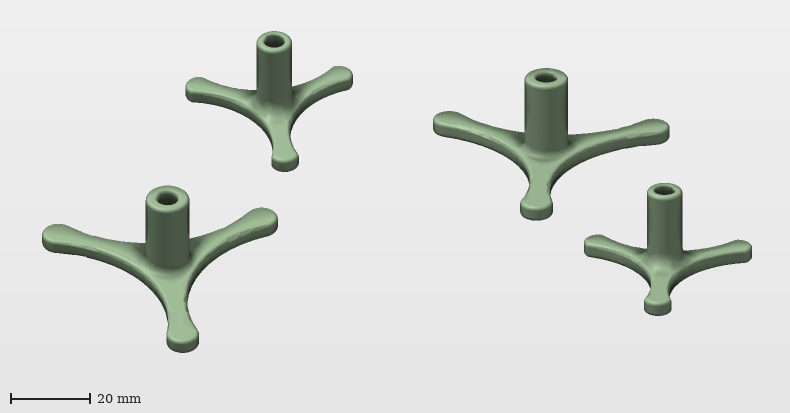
import cadquery as cq
import math

total_height = 24.0
plate_thickness = 4.0
plate_edge_radius = 1.0
hub_rim_radius = 1.0
bore_diameter = 5.1
bore_flat_offset = 2.3
arm_count = 3
arm_step = 360 / arm_count
first_arm_angle = 180 / arm_count
overall_length = 121.3
tolerance = 0.01


def polar(distance, degrees):
    """Point at a distance and angle from the knob axis."""
    angle = math.radians(degrees)
    return distance * math.cos(angle), distance * math.sin(angle)


def arm_plate(tip_distance, tip_radius, waist, scallop_radius, corner_radius):
    """Three-armed plate: round arm tips joined by concave scallops."""
    scallop_distance = waist + scallop_radius
    gap_x, gap_y = polar(tip_distance, first_arm_angle)
    gap_x -= scallop_distance
    gap = math.hypot(gap_x, gap_y)
    along = (gap**2 + scallop_radius**2 - tip_radius**2) / (2 * gap)
    across = math.sqrt(max(scallop_radius**2 - along**2, 0))
    corner_x = scallop_distance + (along * gap_x + across * gap_y) / gap
    corner_y = (along * gap_y - across * gap_x) / gap
    corner_distance = math.hypot(corner_x, corner_y)
    corner_angle = math.degrees(math.atan2(corner_y, corner_x))

    outline = cq.Workplane("XY").moveTo(*polar(corner_distance, -corner_angle))
    for arm in range(arm_count):
        scallop_angle = arm * arm_step
        outline = outline.threePointArc(
            polar(waist, scallop_angle),
            polar(corner_distance, scallop_angle + corner_angle),
        ).threePointArc(
            polar(tip_distance + tip_radius, scallop_angle + first_arm_angle),
            polar(corner_distance, scallop_angle + arm_step - corner_angle),
        )
    plate = outline.close().extrude(plate_thickness)
    if corner_radius:
        plate = plate.edges("|Z").fillet(corner_radius)
    return plate.faces("<Z or >Z").edges().fillet(plate_edge_radius)


def hub_post(hub_diameter):
    """Round post with a rounded rim, standing on the base plane."""
    post = cq.Workplane("XY").circle(hub_diameter / 2).extrude(total_height)
    return post.faces(">Z").edges().fillet(hub_rim_radius)


def blend_hub_root(body, hub_diameter, root_radius):
    """Round the inside corner where the hub meets the top of the plate."""
    hub_radius = hub_diameter / 2
    root_edges = [
        edge
        for edge in body.edges("%CIRCLE").vals()
        if abs(edge.radius() - hub_radius) < tolerance
        and abs(edge.Center().z - plate_thickness) < tolerance
    ]
    return body.newObject(root_edges).fillet(root_radius)


def bore_profile(inner_x, wall_x, mouth_radius):
    """Section through one bore wall, flaring outward along a quarter round at the mouth."""
    half_way = math.sqrt(0.5) * mouth_radius
    straight_end = total_height - mouth_radius
    return (
        cq.Workplane("XZ")
        .moveTo(inner_x, plate_thickness)
        .lineTo(wall_x, plate_thickness)
        .lineTo(wall_x, straight_end)
        .threePointArc(
            (wall_x + mouth_radius - half_way, straight_end + half_way),
            (wall_x + mouth_radius, total_height),
        )
        .lineTo(inner_x, total_height)
        .close()
    )


def cut_bore(body, hub_diameter, mouth_radius):
    """Cut a blind D-shaped bore with a rounded mouth down to the plate's top level."""
    round_bore = bore_profile(0, bore_diameter / 2, mouth_radius).revolve(360, (0, 0), (0, 1))
    flat_side = (
        bore_profile(-hub_diameter, bore_flat_offset, mouth_radius)
        .extrude(hub_diameter, both=True)
        .rotate((0, 0, 0), (0, 0, 1), 180)
    )
    return body.cut(round_bore.intersect(flat_side))


def arm_reach_y(tip_distance, tip_radius):
    """Half of the knob's extent along Y."""
    return tip_distance * math.sin(math.radians(first_arm_angle)) + tip_radius


large_tip_distance = 29.8
large_tip_radius = 4.1
large_hub_diameter = 11.0

large_plate = arm_plate(
    large_tip_distance, large_tip_radius, waist=8.0, scallop_radius=31.7, corner_radius=0
)
large_knob = large_plate.union(hub_post(large_hub_diameter))
large_knob = blend_hub_root(large_knob, large_hub_diameter, root_radius=2.0)
large_knob = cut_bore(large_knob, large_hub_diameter, mouth_radius=1.0)

small_tip_distance = 20.4
small_tip_radius = 3.6
small_hub_diameter = 9.0

small_plate = arm_plate(
    small_tip_distance, small_tip_radius, waist=6.2, scallop_radius=22.2, corner_radius=1.2
)
small_knob = small_plate.union(hub_post(small_hub_diameter))
small_knob = blend_hub_root(small_knob, small_hub_diameter, root_radius=4.0)
small_knob = cut_bore(small_knob, small_hub_diameter, mouth_radius=0.6)

knob_spacing = (
    overall_length
    - arm_reach_y(large_tip_distance, large_tip_radius)
    - arm_reach_y(small_tip_distance, small_tip_radius)
)
small_knob = small_knob.translate((0, knob_spacing, 0))

result = cq.Compound.makeCompound([large_knob.val(), small_knob.val()])